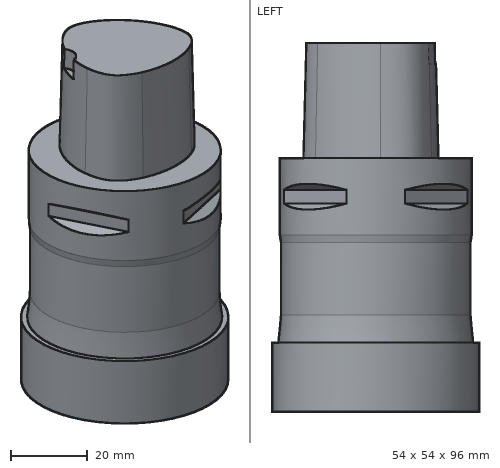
import cadquery as cq
import math

base_diameter = 54.0
base_height = 18.0

foot_diameter = 50.8
foot_height = 7.2
neck_diameter = 49.38
flange_diameter = 50.0
flange_height = 20.0
flange_lead_height = 1.9
flange_top = 66.0
foot_bottom = base_height
foot_top = foot_bottom + foot_height
flange_bottom = flange_top - flange_height
neck_top = flange_bottom - flange_lead_height

shank_height = 30.0
shank_top = flange_top + shank_height
shank_taper = 1.0 / 40.0
lobe_count = 3
shank_mean_radius = 17.6
lobe_rise = 1.25
lobe_half_turn = 37.5
first_lobe_angle = 90.0
lobe_pitch = 360.0 / lobe_count
points_per_face = 12

keyway_depth = 5.5
keyway_radius = 4.5
keyway_floor = 13.7

groove_count = 4
first_groove_angle = 45.0
groove_pitch = 360.0 / groove_count
groove_height = 56.0
groove_floor = 22.2
groove_floor_width = 3.5
groove_side_angle = 30.0
cutter_clearance = 1.0


def lobed_point(normal_angle, level, inset):
    """Point of the three-lobed outline whose outward normal has this angle.

    The distance from the axis to the tangent line varies as a cosine with one
    period per lobe; its derivative shifts the point along that tangent.
    """
    turn = math.radians(normal_angle)
    phase = lobe_count * math.radians(normal_angle - first_lobe_angle)
    reach = shank_mean_radius - inset + lobe_rise * math.cos(phase)
    shift = -lobe_count * lobe_rise * math.sin(phase)
    x = reach * math.cos(turn) - shift * math.sin(turn)
    y = reach * math.sin(turn) + shift * math.cos(turn)
    return cq.Vector(x, y, level)


def lobed_edge(start_angle, end_angle, level, inset):
    """Smooth curve along the outline between two normal angles."""
    step = (end_angle - start_angle) / points_per_face
    angles = [start_angle + index * step for index in range(points_per_face + 1)]
    points = [lobed_point(angle, level, inset) for angle in angles]
    tangents = []
    for angle in (start_angle, end_angle):
        turn = math.radians(angle)
        tangents.append(cq.Vector(-math.sin(turn), math.cos(turn), 0))
    return cq.Edge.makeSpline(points, tangents=tangents)


def lobed_wire(level, inset):
    """Closed outline of alternating lobes and flatter sides."""
    edges = []
    for index in range(lobe_count):
        lobe_angle = first_lobe_angle + index * lobe_pitch
        lobe_start = lobe_angle - lobe_half_turn
        lobe_end = lobe_angle + lobe_half_turn
        edges.append(lobed_edge(lobe_start, lobe_end, level, inset))
        edges.append(lobed_edge(lobe_end, lobe_start + lobe_pitch, level, inset))
    return cq.Wire.assembleEdges(edges)


def make_base():
    return cq.Workplane("XY").circle(base_diameter / 2).extrude(base_height)


def make_round_body():
    """Flared foot, straight neck and flange, turned about Z."""
    return (
        cq.Workplane("XZ")
        .moveTo(0, foot_bottom)
        .lineTo(foot_diameter / 2, foot_bottom)
        .lineTo(neck_diameter / 2, foot_top)
        .lineTo(neck_diameter / 2, neck_top)
        .lineTo(flange_diameter / 2, flange_bottom)
        .lineTo(flange_diameter / 2, flange_top)
        .lineTo(0, flange_top)
        .close()
        .revolve(360, (0, 0, 0), (0, 1, 0))
    )


def make_shank():
    foot_wire = lobed_wire(flange_top, 0)
    top_wire = lobed_wire(shank_top, shank_height * shank_taper)
    return cq.Workplane(cq.Solid.makeLoft([foot_wire, top_wire], True))


def make_keyway_cutter():
    return (
        cq.Workplane("XY")
        .workplane(offset=shank_top - keyway_depth)
        .center(0, -keyway_floor - keyway_radius)
        .circle(keyway_radius)
        .extrude(keyway_depth)
    )


def make_groove_cutter(angle):
    """Straight groove with a flat floor and sides that open outward."""
    mouth = flange_diameter / 2 + cutter_clearance
    floor_half = groove_floor_width / 2
    flare = (mouth - groove_floor) * math.tan(math.radians(groove_side_angle))
    mouth_half = floor_half + flare
    return (
        cq.Workplane("XZ")
        .moveTo(groove_floor, groove_height - floor_half)
        .lineTo(mouth, groove_height - mouth_half)
        .lineTo(mouth, groove_height + mouth_half)
        .lineTo(groove_floor, groove_height + floor_half)
        .close()
        .extrude(flange_diameter / 2, both=True)
        .rotate((0, 0, 0), (0, 0, 1), angle)
    )


def make_holder():
    holder = make_round_body().union(make_shank())
    holder = holder.cut(make_keyway_cutter())
    for index in range(groove_count):
        angle = first_groove_angle + index * groove_pitch
        holder = holder.cut(make_groove_cutter(angle))
    return holder


base = make_base()
holder = make_holder()

result = cq.Compound.makeCompound([base.val(), *holder.vals()])